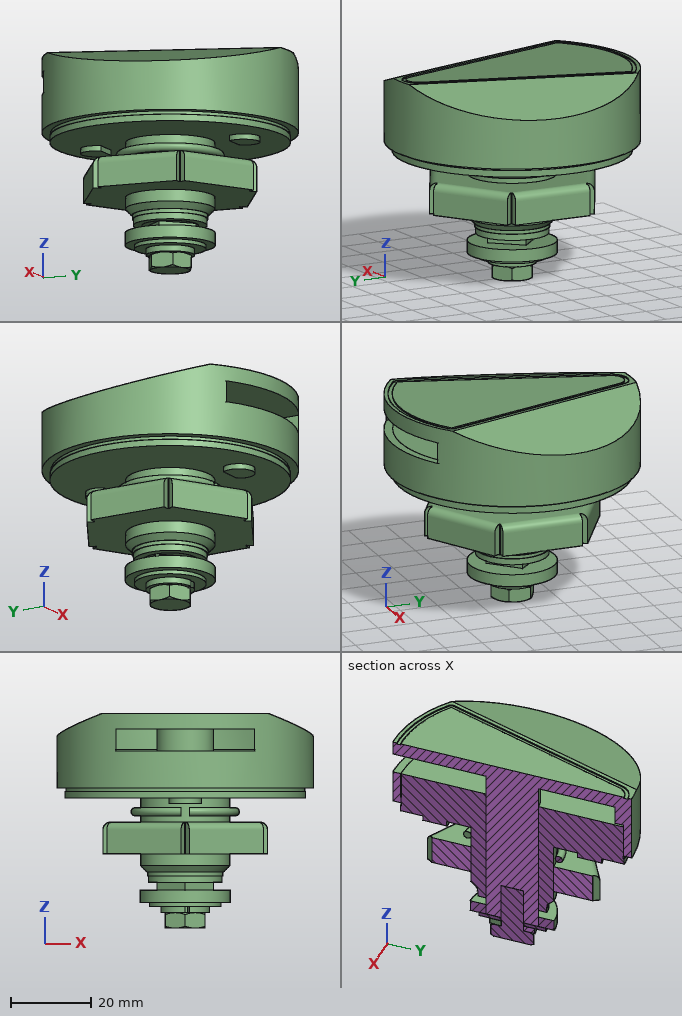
import cadquery as cq
import math


KNOB_RADIUS = 32.0
KNOB_BOTTOM = 2.5
KNOB_TOP = 21.1
SLOPE_ANGLE = 18.2
POINTER_HALF_ANGLE = 16.7
POINTER_EDGE_DISTANCE = 12.9

GROOVE_WIDTH = 1.0
GROOVE_DEPTH = 0.3
LABEL_TIP_RADIUS = 3.2
LABEL_CORNER_RADIUS = 0.3

WINDOW_WIDTH = 34.55
WINDOW_BOTTOM = 11.8
WINDOW_TOP = 17.2
CHAMBER_RADIUS = 27.5
RECESS_TOP = 12.15

SPINDLE_SQUARE = 10.0
SPINDLE_RADIUS = SPINDLE_SQUARE / math.sqrt(2)

PLUG_RADIUS = 29.8
FLANGE_RADIUS = 30.0
FLANGE_THICKNESS = 1.65
HUB_RADIUS = 11.15
HUB_BOTTOM = -16.8
BEVEL_RADIUS = 9.55
BEVEL_BOTTOM = HUB_BOTTOM - (HUB_RADIUS - BEVEL_RADIUS)
COLLAR_RADIUS = 9.4
NOSE_RADIUS = 9.2
NOSE_TOP = -19.4
NOSE_BOTTOM = -21.0
FOOT_RADIUS = 4.0
FOOT_DISTANCE = 20.0
FOOT_HEIGHT = 1.35
FOOT_FLAT_DISTANCE = 17.5

RING_OUTER_RADIUS = 13.5
RING_WIRE_RADIUS = 1.0
RING_CENTRE_Z = -3.4
RING_GAP = 2.2

NUT_SIDES = 6
NUT_ACROSS_FLATS = 41.1
NUT_TOP = -5.95
NUT_BOTTOM = -13.9
NUT_ROUNDING = 2.0
NOTCH_ROOT_DISTANCE = 21.6
NOTCH_ROOT_WIDTH = 0.25
NOTCH_FLANK_ANGLE = 30.0

DISC_RADIUS = 11.25
DISC_TOP = -22.9
DISC_BOTTOM = -26.05
WASHER_RADIUS = 8.95
WASHER_BOTTOM = -27.0
SPRING_RADIUS = 6.1
SPRING_BOTTOM = -28.55
SPRING_GAP_ANGLE = 10.0
BOLT_SIDES = 6
BOLT_BOTTOM = -32.4
BOLT_ACROSS_FLATS = 10.0
BOLT_CHAMFER_ANGLE = 30.0
BOLT_SHANK_RADIUS = 3.0
BOLT_SHANK_TOP = -16.0


def cylinder(radius, bottom, top):
    return cq.Workplane("XY").workplane(offset=bottom).circle(radius).extrude(top - bottom)


def square_bar(side, bottom, top):
    """Square bar on the axis with its corners on the X and Y axes."""
    bar = cq.Workplane("XY").workplane(offset=bottom).rect(side, side).extrude(top - bottom)
    return bar.rotate((0, 0, 0), (0, 0, 1), 45)


def side_slope(side):
    """Wedge that cuts the sloping plane on one side (-1 or +1) of the pointer."""
    reach = 2 * KNOB_RADIUS
    fall = reach * math.tan(math.radians(SLOPE_ANGLE))
    edge = POINTER_EDGE_DISTANCE
    wedge = (
        cq.Workplane("XZ")
        .polyline([(edge, KNOB_TOP), (edge + reach, KNOB_TOP), (edge + reach, KNOB_TOP - fall)])
        .close()
        .extrude(reach, both=True)
    )
    wedge = wedge.rotate((0, 0, 0), (0, 0, 1), POINTER_HALF_ANGLE)
    return wedge if side > 0 else wedge.mirror("YZ")


def label_block(inset):
    """Block of the label's outline, inset from the pointer edges and the knob's rim."""
    edge = POINTER_EDGE_DISTANCE - inset
    half_angle = math.radians(POINTER_HALF_ANGLE)
    tip_y = edge / math.sin(half_angle)
    base_y = -KNOB_RADIUS
    base_half_width = (tip_y - base_y) * math.tan(half_angle)
    rounding = 2 * GROOVE_WIDTH - inset
    bottom = KNOB_TOP - GROOVE_DEPTH
    wedge = (
        cq.Workplane("XY")
        .workplane(offset=bottom)
        .polyline([(0, tip_y), (-base_half_width, base_y), (base_half_width, base_y)])
        .close()
        .extrude(GROOVE_DEPTH)
        .edges("|Z and >Y")
        .fillet(LABEL_TIP_RADIUS + rounding)
    )
    block = wedge.intersect(cylinder(KNOB_RADIUS - inset, bottom, KNOB_TOP))
    corners = cq.selectors.BoxSelector(
        (-KNOB_RADIUS, -KNOB_RADIUS, bottom), (KNOB_RADIUS, -KNOB_RADIUS / 2, KNOB_TOP)
    )
    return block.edges("|Z").edges(corners).fillet(LABEL_CORNER_RADIUS + rounding)


def make_knob():
    """Knob with its spindle, which runs through the hub and ends in a square."""
    knob = cylinder(KNOB_RADIUS, KNOB_BOTTOM, KNOB_TOP)
    for side in (-1, 1):
        knob = knob.cut(side_slope(side))

    knob = knob.cut(label_block(GROOVE_WIDTH).cut(label_block(2 * GROOVE_WIDTH)))

    knob = knob.cut(cylinder(PLUG_RADIUS, KNOB_BOTTOM, RECESS_TOP))
    slab = (
        cq.Workplane("XY")
        .workplane(offset=WINDOW_BOTTOM)
        .rect(WINDOW_WIDTH, 2 * KNOB_RADIUS)
        .extrude(WINDOW_TOP - WINDOW_BOTTOM)
    )
    window = slab.translate((0, -KNOB_RADIUS, 0))
    chamber = slab.intersect(cylinder(CHAMBER_RADIUS, WINDOW_BOTTOM, WINDOW_TOP))
    knob = knob.cut(window).cut(chamber)

    spindle = cylinder(SPINDLE_RADIUS, NOSE_BOTTOM, WINDOW_TOP)
    square_end = square_bar(SPINDLE_SQUARE, DISC_BOTTOM, NOSE_BOTTOM)
    knob = knob.union(spindle).union(square_end)
    return knob.cut(cylinder(BOLT_SHANK_RADIUS, DISC_BOTTOM, BOLT_SHANK_TOP))


def make_hub():
    """Flanged hub whose plug fills the knob's recess, with two feet under the flange."""
    hub = (
        cq.Workplane("XZ")
        .polyline(
            [
                (SPINDLE_RADIUS, WINDOW_BOTTOM),
                (PLUG_RADIUS, WINDOW_BOTTOM),
                (PLUG_RADIUS, FLANGE_THICKNESS),
                (FLANGE_RADIUS, FLANGE_THICKNESS),
                (FLANGE_RADIUS, 0),
                (HUB_RADIUS, 0),
                (HUB_RADIUS, HUB_BOTTOM),
                (BEVEL_RADIUS, BEVEL_BOTTOM),
                (COLLAR_RADIUS, BEVEL_BOTTOM),
                (COLLAR_RADIUS, NOSE_TOP),
                (NOSE_RADIUS, NOSE_TOP),
                (NOSE_RADIUS, NOSE_BOTTOM),
                (SPINDLE_RADIUS, NOSE_BOTTOM),
            ]
        )
        .close()
        .revolve(360, (0, 0, 0), (0, 1, 0))
    )
    for side in (-1, 1):
        foot = cylinder(FOOT_RADIUS, -FOOT_HEIGHT, 0).translate((0, side * FOOT_DISTANCE, 0))
        inner_part = cq.Workplane("XY").box(
            2 * FLANGE_RADIUS, 2 * FOOT_FLAT_DISTANCE, 2 * FOOT_HEIGHT
        )
        hub = hub.union(foot.cut(inner_part))
    return hub


def make_split_ring():
    wire_centre = RING_OUTER_RADIUS - RING_WIRE_RADIUS
    ring = (
        cq.Workplane("XZ")
        .center(wire_centre, RING_CENTRE_Z)
        .circle(RING_WIRE_RADIUS)
        .revolve(360, (-wire_centre, 0, 0), (-wire_centre, 1, 0))
    )
    gap = cq.Workplane("XY").box(RING_GAP, RING_OUTER_RADIUS, 4 * RING_WIRE_RADIUS)
    return ring.cut(gap.translate((0, -RING_OUTER_RADIUS, RING_CENTRE_Z)))


def make_nut():
    """Hexagonal nut with corners on the Y axis."""
    corner_radius = NUT_ACROSS_FLATS / 2 / math.cos(math.pi / NUT_SIDES)
    height = NUT_TOP - NUT_BOTTOM
    nut = (
        cq.Workplane("XY")
        .workplane(offset=NUT_BOTTOM)
        .polygon(NUT_SIDES, 2 * corner_radius)
        .extrude(height)
        .faces(">Z")
        .edges()
        .fillet(NUT_ROUNDING)
    )
    root_half_width = NOTCH_ROOT_WIDTH / 2
    notch_depth = corner_radius - NOTCH_ROOT_DISTANCE
    mouth_half_width = root_half_width + notch_depth * math.tan(math.radians(NOTCH_FLANK_ANGLE))
    notch = (
        cq.Workplane("XY")
        .workplane(offset=NUT_BOTTOM)
        .polyline(
            [
                (NOTCH_ROOT_DISTANCE, -root_half_width),
                (corner_radius, -mouth_half_width),
                (corner_radius, mouth_half_width),
                (NOTCH_ROOT_DISTANCE, root_half_width),
            ]
        )
        .close()
        .extrude(height)
    )
    for index in range(NUT_SIDES):
        nut = nut.cut(notch.rotate((0, 0, 0), (0, 0, 1), index * 360 / NUT_SIDES))
    nut = nut.cut(cylinder(HUB_RADIUS, NUT_BOTTOM, NUT_TOP))
    return nut.rotate((0, 0, 0), (0, 0, 1), 90)


def make_drive_disc():
    disc = cylinder(DISC_RADIUS, DISC_BOTTOM, DISC_TOP)
    return disc.cut(square_bar(SPINDLE_SQUARE, DISC_BOTTOM, DISC_TOP))


def make_washer():
    washer = cylinder(WASHER_RADIUS, WASHER_BOTTOM, DISC_BOTTOM)
    return washer.cut(cylinder(BOLT_SHANK_RADIUS, WASHER_BOTTOM, DISC_BOTTOM))


def make_spring_washer():
    """Split washer whose gap is a narrow sector with one side in the YZ plane."""
    height = WASHER_BOTTOM - SPRING_BOTTOM
    spring = cylinder(SPRING_RADIUS, SPRING_BOTTOM, WASHER_BOTTOM)
    spring = spring.cut(cylinder(BOLT_SHANK_RADIUS, SPRING_BOTTOM, WASHER_BOTTOM))
    reach = 2 * SPRING_RADIUS
    gap = (
        cq.Workplane("XY")
        .workplane(offset=SPRING_BOTTOM)
        .polyline([(0, 0), (0, -reach), (reach * math.tan(math.radians(SPRING_GAP_ANGLE)), -reach)])
        .close()
        .extrude(height)
    )
    return spring.cut(gap)


def make_bolt():
    """Hexagon bolt with two head corners on the Y axis and its shank inside the spindle."""
    corner_radius = BOLT_ACROSS_FLATS / 2 / math.cos(math.pi / BOLT_SIDES)
    flat_radius = BOLT_ACROSS_FLATS / 2
    chamfer_height = (corner_radius - flat_radius) * math.tan(math.radians(BOLT_CHAMFER_ANGLE))
    head = (
        cq.Workplane("XY")
        .workplane(offset=BOLT_BOTTOM)
        .polygon(BOLT_SIDES, 2 * corner_radius)
        .extrude(SPRING_BOTTOM - BOLT_BOTTOM)
        .rotate((0, 0, 0), (0, 0, 1), 90)
    )
    turned = cylinder(corner_radius, BOLT_BOTTOM, SPRING_BOTTOM)
    turned = turned.faces("<Z or >Z").chamfer(chamfer_height, corner_radius - flat_radius)
    shank = cylinder(BOLT_SHANK_RADIUS, SPRING_BOTTOM, BOLT_SHANK_TOP)
    return head.intersect(turned).union(shank)


knob = make_knob()
hub = make_hub()
split_ring = make_split_ring()
nut = make_nut()
drive_disc = make_drive_disc()
washer = make_washer()
spring_washer = make_spring_washer()
bolt = make_bolt()

result = cq.Compound.makeCompound(
    [
        knob.val(),
        hub.val(),
        split_ring.val(),
        nut.val(),
        drive_disc.val(),
        washer.val(),
        spring_washer.val(),
        bolt.val(),
    ]
)